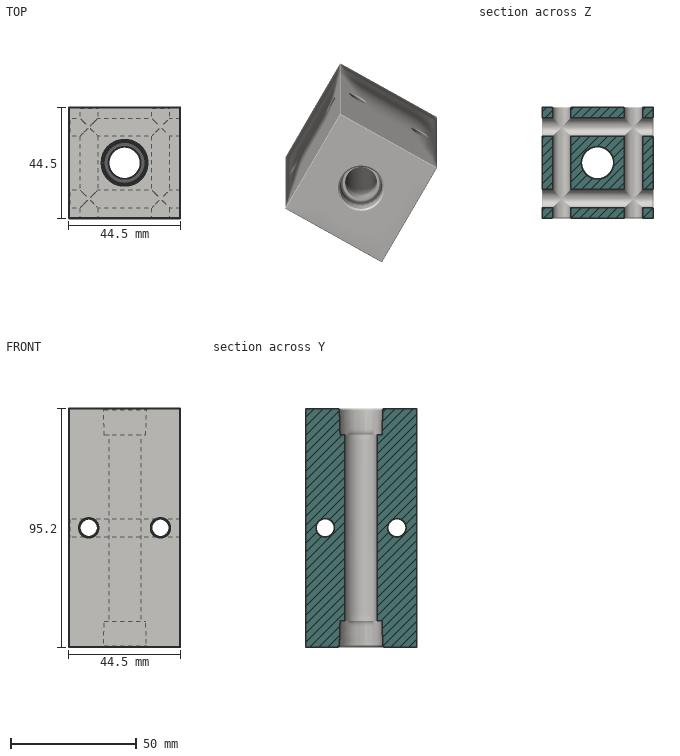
import cadquery as cq

width = 44.45
height = 95.25
edge_chamfer = 0.254

bore_diameter = 12.7
port_mouth_diameter = 18.45
port_chamfer = 0.65
port_diameter = port_mouth_diameter - 2 * port_chamfer
port_taper = 1 / 16
port_taper_length = 9.8
port_floor_diameter = port_diameter - port_taper * port_taper_length

cross_hole_diameter = 7.14
cross_hole_offset = 14.2875
cross_hole_chamfer = 0.381


def cylinder(diameter, length, start, direction):
    """Solid cylinder from a start point along a direction."""
    solid = cq.Solid.makeCylinder(diameter / 2, length, cq.Vector(*start), cq.Vector(*direction))
    return cq.Workplane(solid)


def cone(start_diameter, end_diameter, length, start, direction):
    """Solid cone that runs from a start point along a direction."""
    solid = cq.Solid.makeCone(
        start_diameter / 2, end_diameter / 2, length, cq.Vector(*start), cq.Vector(*direction)
    )
    return cq.Workplane(solid)


def make_block():
    """Square block with every outer edge lightly chamfered."""
    return cq.Workplane("XY").box(width, width, height).edges().chamfer(edge_chamfer)


def cut_through_bore(body):
    """Plain bore along Z from the top face to the bottom face."""
    return body.cut(cylinder(bore_diameter, height, (0, 0, -height / 2), (0, 0, 1)))


def cut_port(body, side):
    """Tapered and chamfered port in the top face (side = 1) or the bottom face (side = -1)."""
    mouth = (0, 0, side * height / 2)
    taper_start = (0, 0, side * (height / 2 - port_chamfer))
    inward = (0, 0, -side)
    body = body.cut(cone(port_mouth_diameter, port_diameter, port_chamfer, mouth, inward))
    return body.cut(cone(port_diameter, port_floor_diameter, port_taper_length, taper_start, inward))


def cut_cross_hole(body, mouth, inward):
    """Hole through the block, chamfered at both ends."""
    far_mouth = tuple(m + width * d for m, d in zip(mouth, inward))
    outward = tuple(-d for d in inward)
    mouth_diameter = cross_hole_diameter + 2 * cross_hole_chamfer
    body = body.cut(cylinder(cross_hole_diameter, width, mouth, inward))
    for end, direction in ((mouth, inward), (far_mouth, outward)):
        body = body.cut(cone(mouth_diameter, cross_hole_diameter, cross_hole_chamfer, end, direction))
    return body


result = make_block()
result = cut_through_bore(result)
for side in (1, -1):
    result = cut_port(result, side)
for offset in (-cross_hole_offset, cross_hole_offset):
    result = cut_cross_hole(result, (-width / 2, offset, 0), (1, 0, 0))
    result = cut_cross_hole(result, (offset, -width / 2, 0), (0, 1, 0))